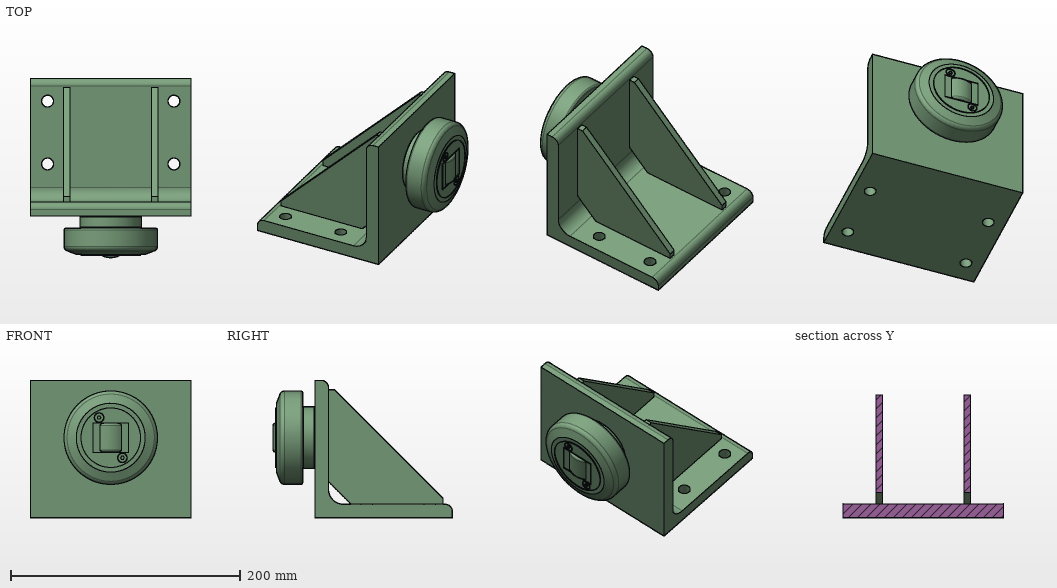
import cadquery as cq

overall_depth = 156.5
width = 140.0
leg_length = 120.0
leg_thickness = 12.0
toe_radius = 6.5
root_radius = 12.7

mount_hole_diameter = 10.2
mount_hole_x = 55.1
mount_hole_rows = (45.4, 100.2)

gusset_thickness = 6.0
gusset_outer_x = 41.3
gusset_reach = 111.9
gusset_end_land = 5.2
gusset_corner_cut = 19.4

roller_height = 70.0
hub_diameter = 54.0
hub_chamfer = 0.8
roller_diameter = 81.5
roller_back = 10.5
roller_front = 33.5
roller_back_radius = 1.7
cone_start = 29.5
cone_front_diameter = 60.1
cone_edge_radius = 4.2
cap_diameter = 52.0
cap_front = 34.3

nose_front = overall_depth - leg_length
nose_radius = 16.6
nose_length = 25.4
nose_edge_radius = 2.0
window_width = 30.8
window_height = 26.0
window_depth = 0.6
screw_x = 10.2
screw_z = 17.5
screw_seat_diameter = 8.5
screw_head_diameter = 7.8
screw_groove_depth = 0.5
socket_diameter = 3.1
socket_depth = 0.8


def face_plane(distance):
    """Plane facing -Y on the roller axis, at a distance from the mounting face."""
    return cq.Workplane("XZ", origin=(0, -distance, roller_height))


def make_angle():
    angle = (
        cq.Workplane("YZ", origin=(-width / 2, 0, 0))
        .polyline([
            (0, 0),
            (leg_length, 0),
            (leg_length, leg_thickness),
            (leg_thickness, leg_thickness),
            (leg_thickness, leg_length),
            (0, leg_length),
        ])
        .close()
        .extrude(width)
    )
    angle = angle.edges(cq.NearestToPointSelector((0, leg_thickness, leg_thickness))).fillet(root_radius)
    for toe in ((0, leg_length, leg_thickness), (0, leg_thickness, leg_length)):
        angle = angle.edges(cq.NearestToPointSelector(toe)).fillet(toe_radius)
    hole_centers = [(side * mount_hole_x, y) for side in (-1, 1) for y in mount_hole_rows]
    holes = cq.Workplane("XY").pushPoints(hole_centers).circle(mount_hole_diameter / 2).extrude(leg_thickness)
    return angle.cut(holes)


def make_gusset(start_x):
    inner = leg_thickness
    land = inner + gusset_end_land
    cut = inner + gusset_corner_cut
    return (
        cq.Workplane("YZ", origin=(start_x, 0, 0))
        .polyline([
            (cut, inner),
            (gusset_reach, inner),
            (gusset_reach, land),
            (land, gusset_reach),
            (inner, gusset_reach),
            (inner, cut),
        ])
        .close()
        .extrude(gusset_thickness)
    )


def make_roller():
    hub = face_plane(0).circle(hub_diameter / 2).extrude(roller_back).edges().chamfer(hub_chamfer)
    roller_radius = roller_diameter / 2
    wheel = (
        cq.Workplane("XY", origin=(0, 0, roller_height))
        .polyline([
            (0, -roller_back),
            (roller_radius, -roller_back),
            (roller_radius, -cone_start),
            (cone_front_diameter / 2, -roller_front),
            (0, -roller_front),
        ])
        .close()
        .revolve(360, (0, 0, 0), (0, 1, 0))
    )
    wheel = wheel.edges(">Y").fillet(roller_back_radius)
    largest_edges = cq.selectors.RadiusNthSelector(-1)
    wheel = wheel.edges(largest_edges).edges("<Y").fillet(cone_edge_radius)
    cap = face_plane(roller_front).circle(cap_diameter / 2).extrude(cap_front - roller_front)
    return hub.union(wheel).union(cap)


def make_window():
    return face_plane(cap_front).rect(window_width, window_height).extrude(-window_depth)


def make_nose():
    """Upright roller of which only the front sliver stands out of the window."""
    bottom = roller_height - nose_length / 2
    drum = (
        cq.Workplane("XY", origin=(0, nose_radius - nose_front, bottom))
        .circle(nose_radius)
        .extrude(nose_length)
        .edges()
        .fillet(nose_edge_radius)
    )
    floor = cap_front - window_depth
    sliver_space = face_plane(floor).rect(window_width, window_height).extrude(nose_front - floor)
    return drum.intersect(sliver_space)


def make_screw_recesses():
    centers = [(-screw_x, screw_z), (screw_x, -screw_z)]
    grooves = (
        face_plane(cap_front)
        .pushPoints(centers)
        .circle(screw_seat_diameter / 2)
        .circle(screw_head_diameter / 2)
        .extrude(-screw_groove_depth)
    )
    sockets = face_plane(cap_front).pushPoints(centers).polygon(6, socket_diameter).extrude(-socket_depth)
    return grooves.union(sockets)


result = make_angle()
for gusset_x in (-gusset_outer_x, gusset_outer_x - gusset_thickness):
    result = result.union(make_gusset(gusset_x))
result = result.union(make_roller()).cut(make_window()).cut(make_screw_recesses()).union(make_nose())